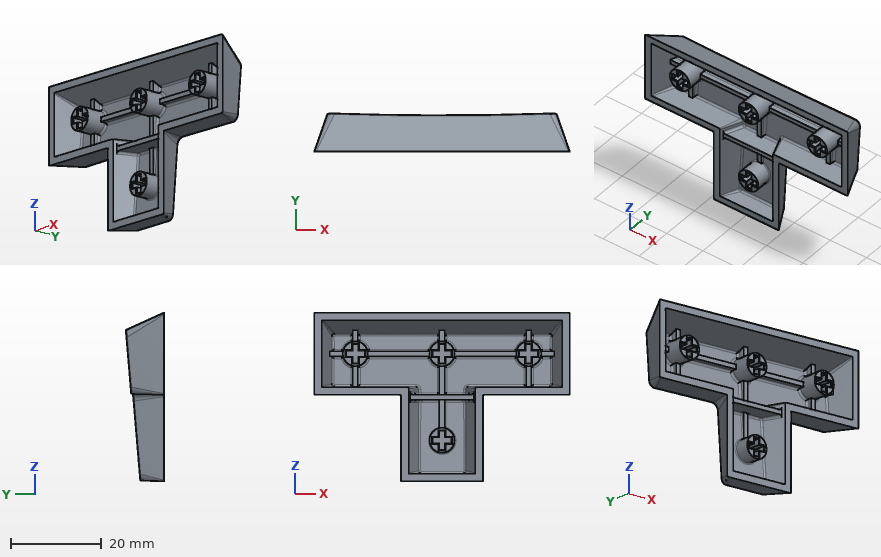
import cadquery as cq
import math


key_pitch = 19.05
key_size = 18.1
half_key = key_size / 2

rim_corner_radius = 0.3
face_corner_radius = 1.6
face_slope = 0.084
face_height = 8.025
dish_radius = 700.0
dish_depth = 0.42
face_edge_fillet = 0.3
side_inset = 2.9
top_inset = 3.85
bottom_inset = 0.2

wall = 1.7
cavity_rim_radius = 0.2
cavity_floor_radius = 0.6
floor_height = 6.4
cavity_side_inset = 2.3
cavity_top_inset = 3.1
cavity_bottom_inset = 0.15
floor_fillet = 0.5

stem_diameter = 5.5
stem_front = 0.8
cross_length = 4.1
cross_arm = 1.25
cross_chamfer = 0.2
cross_depth = 4.5
leg_stem_fillet = 0.25

rib_width = 1.1
rib_front = 4.7
tall_rib_front = stem_front
tall_rib_fillet = 0.6
tall_rib_z = -9.55

tolerance = 1e-3
slope_length = math.hypot(1, face_slope)
bar_stem_x = (-key_pitch, 0, key_pitch)
stem_places = [(x, 0) for x in bar_stem_x] + [(0, -key_pitch)]


def tilted_plane(height):
    """Plane y = height + face_slope * z, facing -Y."""
    return cq.Plane(origin=(0, height, 0), xDir=(1, 0, 0), normal=(0, -1, face_slope))


def tee_wire(plane, stretch, side, top, bottom, radius):
    """T outline inset from the key rectangles, its corners rounded."""
    bar_x = key_pitch + half_key - side
    leg_x = half_key - side
    top_z = (half_key - top) * stretch
    bar_z = (bottom - half_key) * stretch
    leg_z = (bottom - half_key - key_pitch) * stretch
    corners = [
        (-bar_x, top_z), (bar_x, top_z), (bar_x, bar_z), (leg_x, bar_z),
        (leg_x, leg_z), (-leg_x, leg_z), (-leg_x, bar_z), (-bar_x, bar_z),
    ]
    outline = cq.Workplane(plane).polyline(corners).close().wire().val()
    return outline.fillet2D(radius, outline.Vertices())


def tee_loft(height, rim_insets, rim_radius, end_insets, end_radius):
    rim = tee_wire(cq.Plane.named("XZ"), 1, *rim_insets, rim_radius)
    end = tee_wire(tilted_plane(height), slope_length, *end_insets, end_radius)
    return cq.Workplane(cq.Solid.makeLoft([rim, end], True))


def make_body():
    body = tee_loft(
        face_height,
        (0, 0, 0), rim_corner_radius,
        (side_inset, top_inset, bottom_inset), face_corner_radius,
    )
    along_face = cq.Plane(
        origin=(0, face_height - dish_depth, 0),
        xDir=(1, 0, 0), normal=(0, face_slope, 1),
    )
    dish_axis = cq.Workplane(along_face).center(0, dish_radius)
    dish = dish_axis.circle(dish_radius).extrude(2 * key_pitch, both=True)
    dished = body.cut(dish)
    return dished.faces(">Y").edges().fillet(face_edge_fillet)


def make_hollow():
    end_insets = (wall + cavity_side_inset, wall + cavity_top_inset, wall + cavity_bottom_inset)
    cavity = tee_loft(
        floor_height, (wall, wall, wall), cavity_rim_radius, end_insets, cavity_floor_radius,
    )
    hollow = cavity.cut(make_supports())
    hollow = hollow.newObject(tall_rib_corners(hollow)).fillet(tall_rib_fillet)
    hollow = hollow.newObject(floor_edges(hollow, on_leg_stem=False)).fillet(floor_fillet)
    return hollow.newObject(floor_edges(hollow, on_leg_stem=True)).fillet(leg_stem_fillet)


def tall_rib_corners(hollow):
    """Edges where the two sides of the tall rib meet the leg walls."""
    def is_corner(edge):
        middle = edge.Center()
        rises = abs(edge.endPoint().y - edge.startPoint().y) > floor_height / 2
        on_rib = abs(abs(middle.z - tall_rib_z) - rib_width / 2) < tolerance
        return rises and on_rib and abs(middle.x) > stem_diameter / 2
    return [edge for edge in hollow.edges().vals() if is_corner(edge)]


def floor_edges(hollow, on_leg_stem):
    """Floor outline edges, either those of the leg's stem and its rib or all others."""
    def on_floor(point):
        return abs(point.y - floor_height - face_slope * point.z) < tolerance

    def by_leg_stem(point):
        below_tall_rib = point.z < tall_rib_z - rib_width / 2 - tolerance
        above_leg_end = point.z > -key_pitch - stem_diameter
        return abs(point.x) < stem_diameter / 2 and below_tall_rib and above_leg_end

    floors = [face for face in hollow.faces("%PLANE").vals() if on_floor(face.Center())]
    edges = [edge for face in floors for edge in face.Edges()]
    return [edge for edge in edges if by_leg_stem(edge.Center()) == on_leg_stem]


def box(x0, x1, y0, y1, z0, z1):
    return cq.Workplane(cq.Solid.makeBox(x1 - x0, y1 - y0, z1 - z0, cq.Vector(x0, y0, z0)))


def upright_rib(x, z0, z1):
    return box(x - rib_width / 2, x + rib_width / 2, rib_front, face_height, z0, z1)


def level_rib(z, half_length, front):
    return box(-half_length, half_length, front, face_height, z - rib_width / 2, z + rib_width / 2)


def make_supports():
    """Ribs and stem posts, running past the cavity walls and floor."""
    supports = level_rib(0, key_pitch + half_key, rib_front)
    supports = supports.union(level_rib(tall_rib_z, half_key, tall_rib_front))
    for x in bar_stem_x:
        low_end = -key_pitch if x == 0 else -half_key
        supports = supports.union(upright_rib(x, low_end, half_key))
    posts = cq.Workplane("XZ", origin=(0, stem_front, 0)).pushPoints(stem_places)
    return supports.union(posts.circle(stem_diameter / 2).extrude(stem_front - face_height))


def plus_wire(depth, grow):
    """Plus outline at a depth behind the stem fronts, enlarged all round by grow."""
    reach = cross_length / 2 + grow
    arm = cross_arm / 2 + grow
    quarter = [(reach, -arm), (reach, arm), (arm, arm)]
    points = []
    for _ in range(4):
        points += quarter
        quarter = [(-z, x) for x, z in quarter]
    return cq.Workplane("XZ", origin=(0, stem_front + depth, 0)).polyline(points).close().wire().val()


def make_cross_socket():
    lead_in = cq.Solid.makeLoft([plus_wire(0, cross_chamfer), plus_wire(cross_chamfer, 0)], True)
    shaft = cq.Solid.makeLoft([plus_wire(cross_chamfer, 0), plus_wire(cross_depth, 0)], True)
    return cq.Workplane(lead_in).union(cq.Workplane(shaft))


def cut_sockets(body):
    for x, z in stem_places:
        body = body.cut(make_cross_socket().translate((x, 0, z)))
    return body


result = cut_sockets(make_body().cut(make_hollow()))